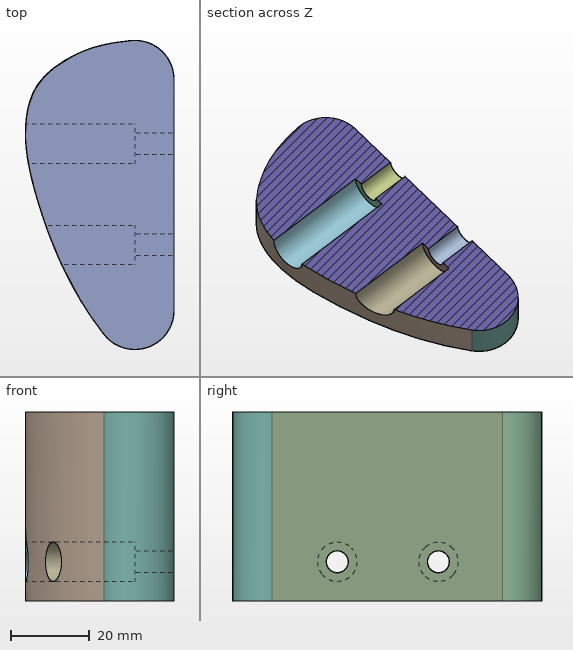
import cadquery as cq
import math

length = 78.6
width = 37.8
height = 48.1

end_radius = 10.0
back_x = width / 2
end_center_x = back_x - end_radius
end_center_y = length / 2 - end_radius

upper_blend_angle = 96.0
lower_blend_angle = 218.0

hole_diameter = 5.5
counterbore_diameter = 10.0
hole_spacing = 25.7
hole_middle_y = 0.15
hole_height = 10.0
counterbore_floor = 10.0
cutter_length = 1.2 * width

front_curve = [
    (28.7, -17.5),
    (35.1, 0.0),
    (width, 16.1),
    (34.7, 27.9),
    (25.3, 35.5),
]


def end_arc_point(side, angle):
    """Point on an end arc; side is +1 for the +Y end and -1 for the -Y end."""
    radians = math.radians(angle)
    x = end_center_x + end_radius * math.cos(radians)
    y = side * end_center_y + end_radius * math.sin(radians)
    return (x, y)


def arc_direction(angle):
    """Counterclockwise tangent of an end arc at the given angle."""
    radians = math.radians(angle)
    return (-math.sin(radians), math.cos(radians))


def make_body():
    lower_blend = end_arc_point(-1, lower_blend_angle)
    upper_blend = end_arc_point(1, upper_blend_angle)
    lower_tangent = arc_direction(lower_blend_angle + 180)
    upper_tangent = arc_direction(upper_blend_angle + 180)
    curve_points = [(back_x - distance, y) for distance, y in front_curve]
    return (
        cq.Workplane("XY")
        .moveTo(*lower_blend)
        .spline(
            curve_points + [upper_blend],
            tangents=[lower_tangent, upper_tangent],
            includeCurrent=True,
        )
        .threePointArc(end_arc_point(1, upper_blend_angle / 2), (back_x, end_center_y))
        .lineTo(back_x, -end_center_y)
        .threePointArc(end_arc_point(-1, (lower_blend_angle - 360) / 2), lower_blend)
        .close()
        .extrude(height)
    )


def make_screw_hole(y):
    axis_plane = cq.Workplane("YZ", origin=(back_x, y, hole_height))
    through_hole = axis_plane.circle(hole_diameter / 2).extrude(-cutter_length)
    counterbore = (
        axis_plane.workplane(offset=-counterbore_floor)
        .circle(counterbore_diameter / 2)
        .extrude(counterbore_floor - cutter_length)
    )
    return through_hole.union(counterbore)


result = make_body()
for side in (-1, 1):
    result = result.cut(make_screw_hole(hole_middle_y + side * hole_spacing / 2))